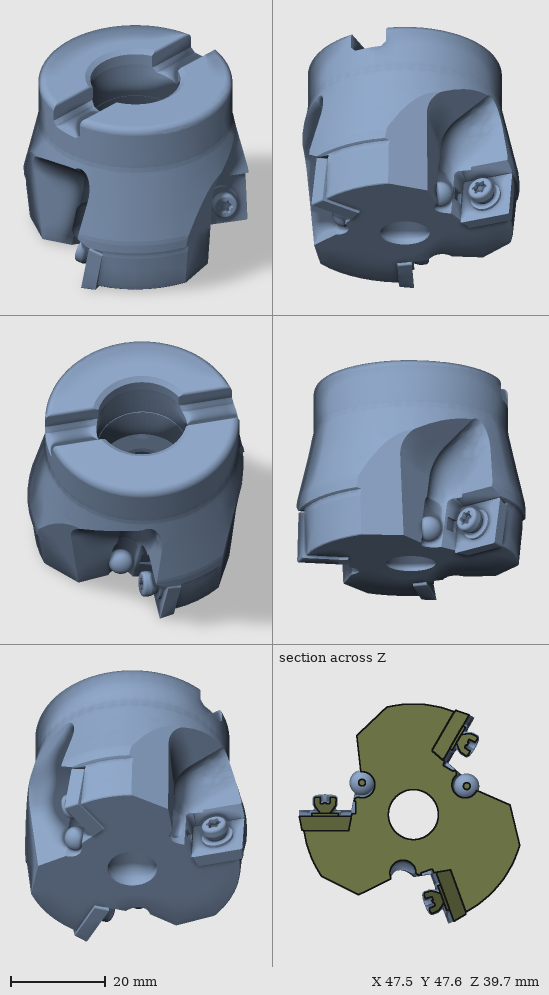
import cadquery as cq
import math

TOTAL_HEIGHT = 39.7
BODY_BOTTOM = 0.65
HUB_RADIUS = 20.52
HUB_TOP_FILLET = 1.55
CONE_TOP = 29.6
CONE_TOP_BLEND = 5.0
CONE_BOTTOM = 13.35
CONE_BOTTOM_BLEND = 4.3
RIM_RADIUS = 24.25
RIM_BOTTOM = 10.85
SKIRT_TOP = 10.52
SKIRT_RADIUS = 23.65
SKIRT_STRAIGHT_END = 9.15
SKIRT_BOTTOM_RADIUS = 22.85
SKIRT_BOTTOM_CHAMFER = 0.2

BORE_RADIUS = 9.52
BORE_DEPTH = 19.05
BORE_CHAMFER_WIDTH = 1.1
BORE_CHAMFER_DEPTH = 0.75
BORE_RELIEF = 0.15
RELIEF_START_DEPTH = 3.35
RELIEF_END_DEPTH = 11.35
HOLE_RADIUS = 5.25
HOLE_CHAMFER = 0.5
SLOT_WIDTH = 7.95
SLOT_DEPTH = 4.8
SLOT_FLOOR_CHAMFER = 1.0
SLOT_TOP_FILLET = 0.55

TOOTH_ANGLES = (0, 110, 240)
AXIAL_RAKE = 10.0
RAKE_OFFSET = 0.95
TOOTH_FRAME = cq.Plane(
    origin=(0, 0, 0),
    xDir=(-1, 0, 0),
    normal=(0, math.cos(math.radians(AXIAL_RAKE)), math.sin(math.radians(AXIAL_RAKE))),
)

FLUTE_WALL_OFFSET = 3.9
FLUTE_FLOOR_RADIUS = 10.85
FLUTE_FLOOR_TILT = 6.5
FLUTE_FLOOR_TOP = 14.5
FLUTE_ROOF_BEND = 8.1
FLUTE_ROOF_TURN = 50.0
FLUTE_BACK_POINT = (-11.55, 16.35, 0.95)
FLUTE_BACK_NORMAL = (-0.95, 1.0, -0.13)
CUT_REACH = 38.1

GROOVE_HALF_DEPTH = 5.95
GROOVE_HALF_WIDTH = 3.52
GROOVE_BELOW_FLOOR = 0.9
GROOVE_ROOF_TURN = 54.0
GROOVE_LIFT = GROOVE_HALF_DEPTH - GROOVE_BELOW_FLOOR
GROOVE_RADIUS = FLUTE_FLOOR_RADIUS + GROOVE_LIFT
GROOVE_BEND = FLUTE_ROOF_BEND - GROOVE_LIFT
GROOVE_OFFSET = FLUTE_WALL_OFFSET + GROOVE_HALF_WIDTH

RECESS_RADIUS = 2.65
RECESS_OFFSET = 7.45
RECESS_BOTTOM = 3.25
RECESS_LENGTH = 4.95

INSERT_WIDTH = 11.05
INSERT_HEIGHT = 10.7
INSERT_THICKNESS = 3.0
INSERT_CLEARANCE = 11.0
INSERT_CORNER_RADIUS = 0.4
INSERT_OUTER_RADIUS = 24.2
INSERT_BOTTOM = -0.165
INSERT_X = INSERT_OUTER_RADIUS - INSERT_WIDTH / 2
INSERT_Y = INSERT_BOTTOM + INSERT_HEIGHT / 2
SEAT_OFFSET = RAKE_OFFSET - INSERT_THICKNESS
SEAT_INSET = INSERT_THICKNESS * math.tan(math.radians(INSERT_CLEARANCE))

POCKET_OVERRUN = 9.52
POCKET_CEILING = 10.75
POCKET_CEILING_AT_WALL = 11.9
WALL_RECESS_RADIUS = 12.2
WALL_RECESS_BOTTOM = 4.35
WALL_RECESS_TOP = 7.3
WALL_RECESS_OFFSET = 1.45

WASHER_RADIUS = 3.35
WASHER_THICKNESS = 0.6
SHANK_RADIUS = 1.45
SHANK_DEPTH = 4.75
NECK_RADIUS = 2.0
HEAD_RADIUS = 2.65
HEAD_HEIGHT = 3.35
HEAD_TAPER_HEIGHT = 1.55
HEAD_FILLET = 0.55
SOCKET_RADIUS = 1.3
SOCKET_LOBES = 6
SOCKET_LOBE_RADIUS = 0.4
SOCKET_DEPTH = 1.45
WASHER_TOP = RAKE_OFFSET + WASHER_THICKNESS
SHANK_END = SEAT_OFFSET - SHANK_DEPTH


def in_tooth_frame(shape):
    """Move a shape drawn in tooth coordinates to the first tooth."""
    return cq.Workplane(shape.val().moved(cq.Location(TOOTH_FRAME)))


def around_axis(shape, angle):
    return shape.rotate((0, 0, 0), (0, 0, 1), angle)


def on_insert_axis(offset):
    """Workplane across the insert axis, at a given offset along the rake normal."""
    return cq.Workplane("XY", origin=(INSERT_X, INSERT_Y, offset))


def ring_edges(shape, height):
    return shape.edges(cq.selectors.BoxSelector((-47.6, -47.6, height - 0.05), (47.6, 47.6, height + 0.05), True))


def turned_blank():
    blank = (
        cq.Workplane("XZ")
        .moveTo(0, BODY_BOTTOM)
        .lineTo(SKIRT_BOTTOM_RADIUS - SKIRT_BOTTOM_CHAMFER, BODY_BOTTOM)
        .lineTo(SKIRT_BOTTOM_RADIUS, BODY_BOTTOM + SKIRT_BOTTOM_CHAMFER)
        .lineTo(SKIRT_RADIUS, SKIRT_STRAIGHT_END)
        .lineTo(SKIRT_RADIUS, SKIRT_TOP)
        .lineTo(RIM_RADIUS, RIM_BOTTOM)
        .lineTo(RIM_RADIUS, CONE_BOTTOM)
        .lineTo(HUB_RADIUS, CONE_TOP)
        .lineTo(HUB_RADIUS, TOTAL_HEIGHT)
        .lineTo(0, TOTAL_HEIGHT)
        .close()
        .revolve(360, (0, 0, 0), (0, 1, 0))
    )
    blank = ring_edges(blank, CONE_BOTTOM).fillet(CONE_BOTTOM_BLEND)
    blank = ring_edges(blank, CONE_TOP).fillet(CONE_TOP_BLEND)
    return ring_edges(blank, TOTAL_HEIGHT).fillet(HUB_TOP_FILLET)


def bore():
    """Stepped bore with an entry chamfer, a shallow relief and a smaller through hole."""
    bore_floor = TOTAL_HEIGHT - BORE_DEPTH
    relief_top = TOTAL_HEIGHT - RELIEF_START_DEPTH
    relief_bottom = TOTAL_HEIGHT - RELIEF_END_DEPTH
    return (
        cq.Workplane("XZ")
        .moveTo(0, BODY_BOTTOM)
        .lineTo(HOLE_RADIUS, BODY_BOTTOM)
        .lineTo(HOLE_RADIUS, bore_floor - HOLE_CHAMFER)
        .lineTo(HOLE_RADIUS + HOLE_CHAMFER, bore_floor)
        .lineTo(BORE_RADIUS, bore_floor)
        .lineTo(BORE_RADIUS, relief_bottom)
        .lineTo(BORE_RADIUS + BORE_RELIEF, relief_bottom)
        .lineTo(BORE_RADIUS + BORE_RELIEF, relief_top)
        .lineTo(BORE_RADIUS, relief_top)
        .lineTo(BORE_RADIUS, TOTAL_HEIGHT - BORE_CHAMFER_DEPTH)
        .lineTo(BORE_RADIUS + BORE_CHAMFER_WIDTH, TOTAL_HEIGHT)
        .lineTo(0, TOTAL_HEIGHT)
        .close()
        .revolve(360, (0, 0, 0), (0, 1, 0))
    )


def drive_slot():
    """Slot across the top along Y, with chamfered floor corners and rounded upper edges."""
    half = SLOT_WIDTH / 2
    floor = TOTAL_HEIGHT - SLOT_DEPTH
    edge = SLOT_TOP_FILLET
    return (
        cq.Workplane("XZ")
        .moveTo(-half + SLOT_FLOOR_CHAMFER, floor)
        .lineTo(half - SLOT_FLOOR_CHAMFER, floor)
        .lineTo(half, floor + SLOT_FLOOR_CHAMFER)
        .lineTo(half, TOTAL_HEIGHT - edge)
        .radiusArc((half + edge, TOTAL_HEIGHT), edge)
        .lineTo(-half - edge, TOTAL_HEIGHT)
        .radiusArc((-half, TOTAL_HEIGHT - edge), edge)
        .lineTo(-half, floor + SLOT_FLOOR_CHAMFER)
        .close()
        .extrude(CUT_REACH, both=True)
    )


def bend_point(start, radius, angle):
    """Point on an arc that leaves `start` going up and turns outward by `angle` radians."""
    return (
        start[0] + radius * (1 - math.cos(angle)),
        start[1] + radius * math.sin(angle),
    )


def flute_line(radius, bend_radius, roof_turn):
    """Line up the flute floor, round the bend and out along the sloping roof."""
    turn = math.radians(roof_turn)
    bend_start = (radius, FLUTE_FLOOR_TOP)
    bend_end = bend_point(bend_start, bend_radius, turn)
    roof_end = (bend_end[0] + CUT_REACH * math.sin(turn), bend_end[1] + CUT_REACH * math.cos(turn))
    return (
        cq.Workplane("XY")
        .moveTo(radius, -CUT_REACH)
        .lineTo(*bend_start)
        .threePointArc(bend_point(bend_start, bend_radius, turn / 2), bend_end)
        .lineTo(*roof_end)
    )


def ahead_of(offset):
    """Block of everything further forward than a given offset along the rake normal."""
    return cq.Workplane("XY", origin=(0, 0, offset)).rect(6 * CUT_REACH, 6 * CUT_REACH).extrude(CUT_REACH)


def main_space():
    """Open part of the flute, with a slightly tilted floor and roof."""
    space = (
        flute_line(FLUTE_FLOOR_RADIUS, FLUTE_ROOF_BEND, FLUTE_ROOF_TURN)
        .lineTo(2 * CUT_REACH, -CUT_REACH)
        .close()
        .extrude(CUT_REACH, both=True)
        .rotate(
            (FLUTE_FLOOR_RADIUS, 0, GROOVE_OFFSET),
            (FLUTE_FLOOR_RADIUS, 1, GROOVE_OFFSET),
            FLUTE_FLOOR_TILT,
        )
    )
    return space.intersect(ahead_of(GROOVE_OFFSET))


def corner_groove():
    """Elliptical groove that follows floor, bend and roof, and opens outward beside the wall."""
    center_line = flute_line(GROOVE_RADIUS, GROOVE_BEND, GROOVE_ROOF_TURN)
    groove = (
        cq.Workplane("XZ", origin=(GROOVE_RADIUS, -CUT_REACH, GROOVE_OFFSET))
        .ellipseArc(GROOVE_HALF_DEPTH, GROOVE_HALF_WIDTH, 90, 270, startAtCurrent=False)
        .close()
        .sweep(center_line.translate((0, 0, GROOVE_OFFSET)))
    )
    opening = (
        flute_line(GROOVE_RADIUS, GROOVE_BEND, GROOVE_ROOF_TURN)
        .lineTo(2 * CUT_REACH, -CUT_REACH)
        .close()
        .extrude(GROOVE_HALF_WIDTH)
        .translate((0, 0, FLUTE_WALL_OFFSET))
    )
    return groove.union(opening)


def flute():
    return in_tooth_frame(main_space().union(corner_groove()))


def flute_back():
    """Everything outside the flat that relieves the far side of the flute."""
    plane = cq.Plane(origin=FLUTE_BACK_POINT, xDir=(1, 0.95, 0), normal=FLUTE_BACK_NORMAL)
    return cq.Workplane(plane).rect(2 * CUT_REACH, 2 * CUT_REACH).extrude(CUT_REACH)


def corner_recess():
    """Capsule-shaped recess that runs up the corner between flute floor and wall."""
    start = cq.Workplane("XZ", origin=(FLUTE_FLOOR_RADIUS, RECESS_BOTTOM, RECESS_OFFSET))
    ends = [
        cq.Workplane("XY", origin=(FLUTE_FLOOR_RADIUS, y, RECESS_OFFSET)).sphere(RECESS_RADIUS)
        for y in (RECESS_BOTTOM, RECESS_BOTTOM + RECESS_LENGTH)
    ]
    capsule = start.circle(RECESS_RADIUS).extrude(-RECESS_LENGTH)
    for end in ends:
        capsule = capsule.union(end)
    return in_tooth_frame(capsule)


def insert_pocket():
    """Seat for the insert, open outward and downward, with its inner wall following the insert."""
    inner = INSERT_X - INSERT_WIDTH / 2 + SEAT_INSET
    upper = INSERT_Y + INSERT_HEIGHT / 2 - SEAT_INSET
    size = INSERT_WIDTH + POCKET_OVERRUN
    height = FLUTE_WALL_OFFSET + RAKE_OFFSET - SEAT_OFFSET
    pocket = (
        cq.Workplane("XY", origin=(inner + size / 2, upper - size / 2, SEAT_OFFSET))
        .rect(size, size)
        .extrude(height, taper=-INSERT_CLEARANCE)
    )
    ceiling_clearance = (
        cq.Workplane("YZ", origin=(inner, 0, 0))
        .moveTo(INSERT_Y, SEAT_OFFSET)
        .lineTo(POCKET_CEILING, SEAT_OFFSET)
        .lineTo(POCKET_CEILING, RAKE_OFFSET)
        .lineTo(POCKET_CEILING_AT_WALL, FLUTE_WALL_OFFSET)
        .lineTo(INSERT_Y, FLUTE_WALL_OFFSET)
        .close()
        .extrude(size)
    )
    wall_recess = cq.Workplane("XY").box(
        inner - WALL_RECESS_RADIUS,
        WALL_RECESS_TOP - WALL_RECESS_BOTTOM,
        FLUTE_WALL_OFFSET - WALL_RECESS_OFFSET,
        centered=False,
    ).translate((WALL_RECESS_RADIUS, WALL_RECESS_BOTTOM, WALL_RECESS_OFFSET))
    return in_tooth_frame(pocket.union(ceiling_clearance).union(wall_recess))


def shank_hole():
    return in_tooth_frame(on_insert_axis(SHANK_END).circle(SHANK_RADIUS).extrude(WASHER_TOP - SHANK_END))


def cutter_body():
    body = turned_blank().cut(bore()).cut(drive_slot())
    tooth_cuts = (flute(), flute_back(), corner_recess(), insert_pocket(), shank_hole())
    for angle in TOOTH_ANGLES:
        for cutter in tooth_cuts:
            body = body.cut(around_axis(cutter, angle))
    return body


def cutting_insert():
    """Rectangular insert whose four sides taper towards the seat."""
    blank = (
        on_insert_axis(RAKE_OFFSET)
        .rect(INSERT_WIDTH, INSERT_HEIGHT)
        .extrude(-INSERT_THICKNESS, taper=INSERT_CLEARANCE)
        .edges("not #Z")
        .fillet(INSERT_CORNER_RADIUS)
    )
    return in_tooth_frame(blank).cut(shank_hole())


def washer():
    disc = on_insert_axis(RAKE_OFFSET).circle(WASHER_RADIUS).circle(SHANK_RADIUS).extrude(WASHER_THICKNESS)
    return in_tooth_frame(disc)


def screw():
    """Screw with a tapered round head and a six-lobed socket."""
    head_top = WASHER_TOP + HEAD_HEIGHT
    head = (
        cq.Workplane("XZ", origin=(INSERT_X, INSERT_Y, 0))
        .moveTo(0, SHANK_END)
        .lineTo(SHANK_RADIUS, SHANK_END)
        .lineTo(SHANK_RADIUS, WASHER_TOP)
        .lineTo(NECK_RADIUS, WASHER_TOP)
        .lineTo(HEAD_RADIUS, WASHER_TOP + HEAD_TAPER_HEIGHT)
        .lineTo(HEAD_RADIUS, head_top)
        .lineTo(0, head_top)
        .close()
        .revolve(360, (0, 0, 0), (0, 1, 0))
        .faces(">Z")
        .edges()
        .fillet(HEAD_FILLET)
    )
    socket = on_insert_axis(head_top).circle(SOCKET_RADIUS).extrude(-SOCKET_DEPTH)
    lobes = (
        on_insert_axis(head_top)
        .polarArray(SOCKET_RADIUS, 0, 360, SOCKET_LOBES)
        .circle(SOCKET_LOBE_RADIUS)
        .extrude(-SOCKET_DEPTH)
    )
    return in_tooth_frame(head.cut(socket.union(lobes)))


body = cutter_body()
inserts = [around_axis(cutting_insert(), angle) for angle in TOOTH_ANGLES]
washers = [around_axis(washer(), angle) for angle in TOOTH_ANGLES]
screws = [around_axis(screw(), angle) for angle in TOOTH_ANGLES]

result = cq.Compound.makeCompound([body.val()] + [part.val() for part in inserts + washers + screws])